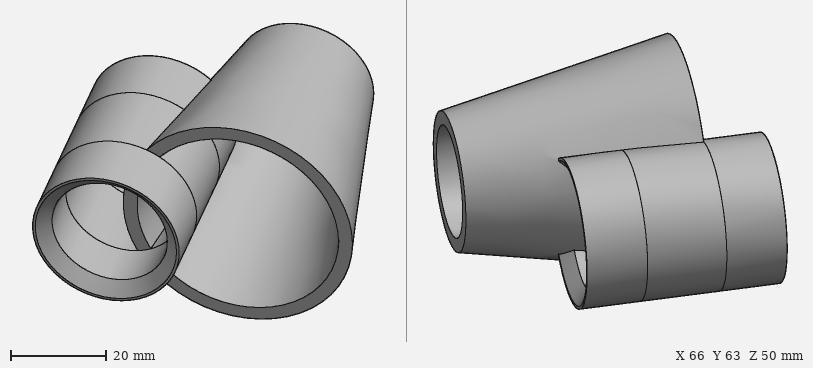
import cadquery as cq

SLEEVE_LENGTH = 50.0
WIDE_DIAMETER = 50.0
NARROW_DIAMETER = 30.0
SLEEVE_WALL = 3.05

PIPE_DIAMETER = 32.0
PIPE_BORE = 25.15
RING_LENGTH = 13.0
TUBE_LENGTH = 17.0

MOUTH_RIM = 0.6
MOUTH_DEPTH = 2.85

PIPE_RADIUS = PIPE_DIAMETER / 2
BORE_RADIUS = PIPE_BORE / 2
MOUTH_RADIUS = PIPE_RADIUS - MOUTH_RIM

OVERALL_WIDTH = 66
PIPE_X = WIDE_DIAMETER / 2 + PIPE_RADIUS - OVERALL_WIDTH


def revolve_about_y(points):
    """Revolve a closed (radius, Y) outline a full turn about the Y axis."""
    return cq.Workplane("XY").polyline(points).close().revolve(360, (0, 0, 0), (0, 1, 0))


def make_end_ring(inner_y, direction):
    """Ring from inner_y outward along direction (+1 or -1), flared at its outer end."""
    outer_y = inner_y + direction * RING_LENGTH
    flare_start_y = outer_y - direction * MOUTH_DEPTH
    outline = [
        (BORE_RADIUS, inner_y),
        (PIPE_RADIUS, inner_y),
        (PIPE_RADIUS, outer_y),
        (MOUTH_RADIUS, outer_y),
        (BORE_RADIUS, flare_start_y),
    ]
    return revolve_about_y(outline).translate((PIPE_X, 0, 0))


def make_middle_tube():
    """Plain tube between the two end rings."""
    outline = [
        (BORE_RADIUS, 0),
        (PIPE_RADIUS, 0),
        (PIPE_RADIUS, TUBE_LENGTH),
        (BORE_RADIUS, TUBE_LENGTH),
    ]
    return revolve_about_y(outline).translate((PIPE_X, 0, 0))


def make_sleeve(pipe_parts):
    """Hollow cone, slotted where the walls of the pipe parts pass through it."""
    wide_radius = WIDE_DIAMETER / 2
    narrow_radius = NARROW_DIAMETER / 2
    sleeve = revolve_about_y([
        (wide_radius - SLEEVE_WALL, 0),
        (wide_radius, 0),
        (narrow_radius, SLEEVE_LENGTH),
        (narrow_radius - SLEEVE_WALL, SLEEVE_LENGTH),
    ])
    for part in pipe_parts:
        sleeve = sleeve.cut(part)
    return sleeve


middle_tube = make_middle_tube()
end_rings = [
    make_end_ring(inner_y, direction)
    for inner_y, direction in [(0, -1), (TUBE_LENGTH, 1)]
]
sleeve = make_sleeve([middle_tube, *end_rings])

result = cq.Compound.makeCompound([
    sleeve.val(),
    middle_tube.val(),
    *[ring.val() for ring in end_rings],
])